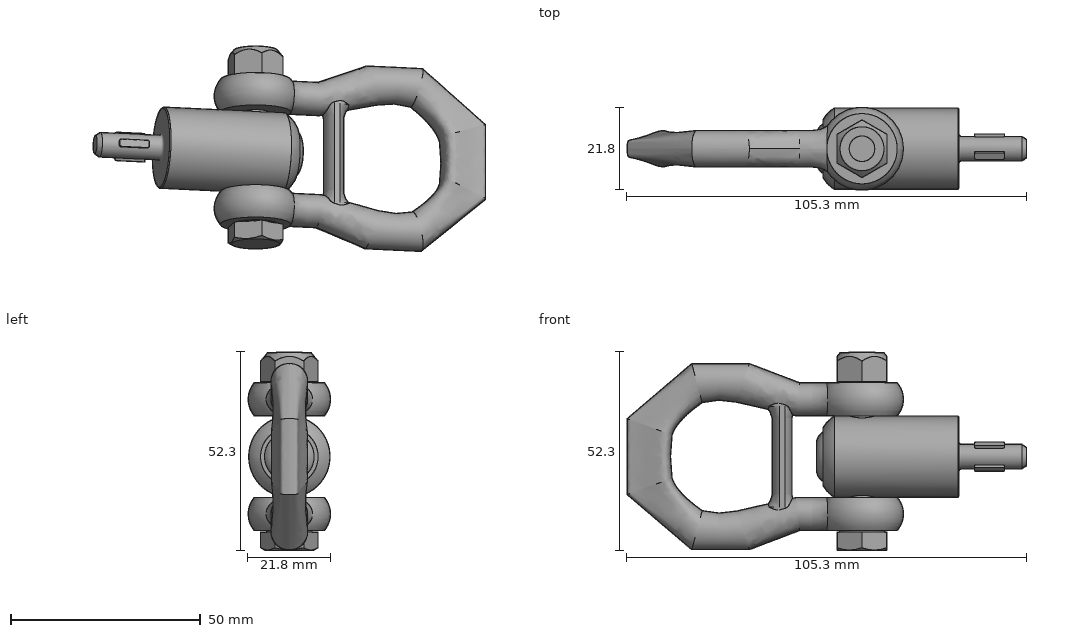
import cadquery as cq
import math


bolt_radius = 3.4
hex_across_flats = 13.2
washer_face_radius = 6.0
nut_top = 27.4
bolt_top = 27.6
nut_face_height = 0.3
nut_chamfer_radius = 5.8
nut_corner_drop = 2.2
head_bottom = -24.7
head_face_height = 0.4
head_chamfer_radius = 6.3
head_corner_drop = 0.7

housing_radius = 10.7
housing_start = -7.3
housing_end = 25.6
housing_edge_chamfer = 0.3
dome_step_x = -10.3
dome_step_outer_radius = 7.6
dome_step_inner_radius = 6.5
dome_tip_x = -12.0
dome_tip_radius = 4.0
dome_bulge = 0.3

shaft_radius = 3.3
shaft_end = 43.4
shaft_chamfer_length = 1.3
shaft_tip_radius = 2.4
shaft_root_fillet = 0.6
key_count = 3
key_start = 29.6
key_length = 8.0
key_width = 2.0
key_top_radius = 3.9
key_corner_fillet = 0.5

eye_inner_face = 10.7
eye_outer_face = 19.5
eye_radius = 10.9
eye_flat_radius = 9.3
flare_start_x = -13.0
flare_end_x = -8.4
flare_middle_half_width = 5.2
flare_half_width = 6.7
ring_half_width = 4.8
crown_handles = [(0, 4.5), (0.07, 0.9), (0.54, 1.8), (1, 10.4)]

bar_x = -21.0
bar_half_length = 2.6
bar_half_width = 4.2
bar_edge_width = 1.5
bar_flare_start = 10.1
bar_flare_end = 13.3
bar_flare_middle_half_length = 3.2
bar_flare_half_length = 4.6
bar_top = 14.3

hex_corner_radius = hex_across_flats / math.sqrt(3)
eye_middle = (eye_inner_face + eye_outer_face) / 2
key_bottom_radius = shaft_radius / 2


def join(parts):
    """Union of overlapping or touching parts, keeping the edges between their faces."""
    first, *others = parts
    body = first
    for other in others:
        body = body.union(other, clean=False)
    return body


def ring_section(outer, inner, handles):
    """Closed smooth section between an outer and an inner (x, z) point.

    Each side is one Bezier curve; each handle is its (share of the depth, half width).
    """
    def at(share, y):
        return cq.Vector(
            outer[0] + share * (inner[0] - outer[0]),
            y,
            outer[1] + share * (inner[1] - outer[1]),
        )

    def side(sign):
        control_points = [at(share, sign * half_width) for share, half_width in handles]
        return cq.Edge.makeBezier([at(0, 0), *control_points, at(1, 0)])

    return cq.Wire.assembleEdges([side(1), side(-1)])


def oval_handles(half_width):
    """Handles that give a nearly elliptical section."""
    return [(0, 0.8 * half_width), (0.3, 1.2 * half_width), (0.7, 1.2 * half_width), (1, 0.8 * half_width)]


def mean_handles(first, second):
    """Handles halfway between two sections."""
    return [((a + c) / 2, (b + d) / 2) for (a, b), (c, d) in zip(first, second)]


def arm_section(x, half_width):
    """Upright section of the straight arm, as deep as the eye is thick."""
    return ring_section((x, eye_outer_face), (x, eye_inner_face), oval_handles(half_width))


def make_half_ring():
    """Upper half of the ring, one loft for each straight stretch, ending inside the eye."""
    crown_x = -61.9
    ring_top = 24.5
    oval = oval_handles(ring_half_width)
    crown = ring_section((crown_x, 0), (-50.4, 0), crown_handles)
    lower_corner = ring_section((crown_x, 10.0), (-50.0, 5.7), crown_handles)
    slope_middle = ring_section((-53.4, 17.3), (-47.5, 9.7), mean_handles(crown_handles, oval))
    upper_corner = ring_section((-44.8, ring_top), (-42.1, 14.2), oval)
    top = ring_section((-37.7, ring_top), (-37.7, 14.8), oval)
    shoulder = ring_section((-29.7, ring_top), (-33.0, 14.3), oval)
    arm_start = ring_section((-16.4, eye_outer_face), (-17.4, eye_inner_face), oval)
    flare_start = arm_section(flare_start_x, ring_half_width)
    flare_middle = arm_section((flare_start_x + flare_end_x) / 2, flare_middle_half_width)
    flare_end = arm_section(flare_end_x, flare_half_width)
    stretches = [
        [crown, lower_corner],
        [lower_corner, slope_middle, upper_corner],
        [upper_corner, top],
        [top, shoulder],
        [shoulder, arm_start],
        [arm_start, flare_start],
        [flare_start, flare_middle, flare_end],
    ]
    pieces = [cq.Solid.makeLoft(sections, len(sections) == 2) for sections in stretches]
    return join(cq.Workplane(piece) for piece in pieces)


def make_eye():
    """Flat-faced disc with a bulging rim, around the Z axis."""
    return (
        cq.Workplane("XZ")
        .moveTo(0, eye_inner_face)
        .lineTo(eye_flat_radius, eye_inner_face)
        .threePointArc((eye_radius, eye_middle), (eye_flat_radius, eye_outer_face))
        .lineTo(0, eye_outer_face)
        .close()
        .revolve(360, (0, 0, 0), (0, 1, 0))
    )


def bar_section(z, half_length):
    """Lens-shaped section of the cross bar, with narrow flat edges."""
    half_edge = bar_edge_width / 2
    return (
        cq.Workplane("XY", origin=(bar_x, 0, z))
        .moveTo(-half_edge, -bar_half_width)
        .threePointArc((-half_length, 0), (-half_edge, bar_half_width))
        .lineTo(half_edge, bar_half_width)
        .threePointArc((half_length, 0), (half_edge, -bar_half_width))
        .close()
        .val()
    )


def make_half_bar():
    """Upper half of the cross bar, widening smoothly into the arm."""
    foot = bar_section(0, bar_half_length)
    flare_start = bar_section(bar_flare_start, bar_half_length)
    flare_middle = bar_section((bar_flare_start + bar_flare_end) / 2, bar_flare_middle_half_length)
    flare_end = bar_section(bar_flare_end, bar_flare_half_length)
    top = bar_section(bar_top, bar_flare_half_length)
    stretches = [[foot, flare_start], [flare_start, flare_middle, flare_end], [flare_end, top]]
    return join(cq.Workplane(cq.Solid.makeLoft(sections, len(sections) == 2)) for sections in stretches)


def make_shackle():
    half_ring = make_half_ring()
    half_bar = make_half_bar()
    eye = make_eye()
    ring = join([half_ring, half_ring.mirror("XY")])
    bar = join([half_bar, half_bar.mirror("XY")])
    body = join([ring, eye, eye.mirror("XY"), bar])
    bolt_hole = cq.Workplane("XY").circle(bolt_radius).extrude(eye_outer_face + 1, both=True)
    return body.cut(bolt_hole, clean=False)


def arc_middle(start, end, bulge):
    """Point beside the middle of a line from start to end, offset by the bulge to its left."""
    length = math.dist(start, end)
    return (
        (start[0] + end[0]) / 2 - bulge * (end[1] - start[1]) / length,
        (start[1] + end[1]) / 2 + bulge * (end[0] - start[0]) / length,
    )


def make_turned_housing():
    """Domed housing and stepped shaft, turned around the X axis."""
    tip_edge = (dome_tip_x, dome_tip_radius)
    step_inner = (dome_step_x, dome_step_inner_radius)
    step_outer = (dome_step_x, dome_step_outer_radius)
    dome_edge = (housing_start, housing_radius)
    return (
        cq.Workplane("XY")
        .moveTo(dome_tip_x, 0)
        .lineTo(*tip_edge)
        .threePointArc(arc_middle(tip_edge, step_inner, dome_bulge), step_inner)
        .lineTo(*step_outer)
        .threePointArc(arc_middle(step_outer, dome_edge, dome_bulge), dome_edge)
        .lineTo(housing_end - housing_edge_chamfer, housing_radius)
        .lineTo(housing_end, housing_radius - housing_edge_chamfer)
        .lineTo(housing_end, shaft_radius + shaft_root_fillet)
        .radiusArc((housing_end + shaft_root_fillet, shaft_radius), -shaft_root_fillet)
        .lineTo(shaft_end - shaft_chamfer_length, shaft_radius)
        .lineTo(shaft_end, shaft_tip_radius)
        .lineTo(shaft_end, 0)
        .close()
        .revolve(360, (0, 0, 0), (1, 0, 0))
    )


def make_key(angle):
    """Raised key along the shaft, at an angle about X from +Y."""
    height = key_top_radius - key_bottom_radius
    return (
        cq.Workplane("XY")
        .box(key_length, height, key_width)
        .edges("|Y")
        .fillet(key_corner_fillet)
        .translate((key_start + key_length / 2, key_bottom_radius + height / 2, 0))
        .rotate((0, 0, 0), (1, 0, 0), angle)
    )


def make_housing():
    body = make_turned_housing()
    for index in range(key_count):
        body = body.union(make_key(index * 360 / key_count))
    bolt_hole = cq.Workplane("XY").circle(bolt_radius).extrude(housing_radius + 1, both=True)
    return body.cut(bolt_hole)


def make_hex(contact_z, face_height, end_z, chamfer_radius, corner_drop):
    """Hexagon with a round contact face next to the eye and a conical chamfer at its free end."""
    direction = math.copysign(1, end_z - contact_z)
    hex_z = contact_z + direction * face_height
    hexagon = (
        cq.Workplane("XY", origin=(0, 0, hex_z))
        .polygon(6, 2 * hex_corner_radius)
        .extrude(end_z - hex_z)
        .rotate((0, 0, 0), (0, 0, 1), 90)
    )
    chamfer_envelope = (
        cq.Workplane("XZ")
        .moveTo(0, hex_z)
        .lineTo(hex_corner_radius, hex_z)
        .lineTo(hex_corner_radius, end_z - direction * corner_drop)
        .lineTo(chamfer_radius, end_z)
        .lineTo(0, end_z)
        .close()
        .revolve(360, (0, 0, 0), (0, 1, 0))
    )
    contact_face = (
        cq.Workplane("XY", origin=(0, 0, contact_z))
        .circle(washer_face_radius)
        .extrude(direction * face_height)
    )
    return hexagon.intersect(chamfer_envelope).union(contact_face)


def make_bolt():
    head = make_hex(-eye_outer_face, head_face_height, head_bottom, head_chamfer_radius, head_corner_drop)
    shank = (
        cq.Workplane("XY", origin=(0, 0, -eye_outer_face))
        .circle(bolt_radius)
        .extrude(bolt_top + eye_outer_face)
    )
    return head.union(shank)


def make_nut():
    nut = make_hex(eye_outer_face, nut_face_height, nut_top, nut_chamfer_radius, nut_corner_drop)
    thread_hole = cq.Workplane("XY").circle(bolt_radius).extrude(bolt_top)
    return nut.cut(thread_hole)


shackle = make_shackle()
housing = make_housing()
bolt = make_bolt()
nut = make_nut()

result = cq.Compound.makeCompound([shackle.val(), housing.val(), bolt.val(), nut.val()])